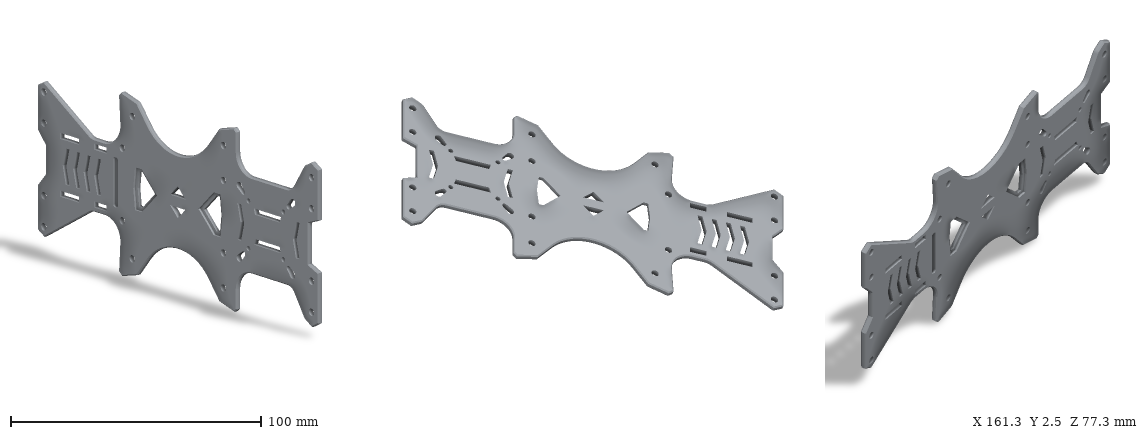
import cadquery as cq
import math

LENGTH = 161.28
HEIGHT = 77.27
THICKNESS = 2.5
EDGE_CHAMFER = 0.5
HALF_LENGTH = LENGTH / 2
HALF_HEIGHT = HEIGHT / 2

LEFT_SHOULDER_Z = 30.3
LEFT_PEAK = (-76.7, 32.65)
LEFT_NOTCH_X = -76.1
LEFT_NOTCH_FLOOR_Z = 6.3
LEFT_NOTCH_MOUTH_Z = 11.8
LEFT_WAIST_Z = 15.3
LEFT_VALLEY_X = -49.3
LEFT_VALLEY_RADIUS = 6.0
LEFT_ARM_ROOT_X = -32.8
LEFT_ARM_RADIUS = 9.0

ARM_TIP_X = 32.2
LEFT_ARM_CORNER = (-34.1, 37.0)
ARM_SHOULDER = (23.4, 36.2)
WAIST_RADIUS = 21.7
WAIST_Z = 19.7

RIGHT_ARM_X = 33.7
RIGHT_ARM_CORNER_Z = 37.2
RIGHT_WAIST_Z = 20.2
RIGHT_ARM_RADIUS = 8.5
RIGHT_VALLEY_X = 64.9
RIGHT_VALLEY_RADIUS = 5.0
RIGHT_SHOULDER = (72.3, 32.2)
RIGHT_SHOULDER_RADIUS = 3.0
RIGHT_PEAK = (76.6, 34.7)
RIGHT_CORNER_Z = 32.3
RIGHT_NOTCH_X = 74.8
RIGHT_NOTCH_FLOOR_Z = 8.6
RIGHT_NOTCH_MOUTH_Z = 11.0

MOUNT_HOLE_DIAMETER = 3.05
MOUNT_HOLE_LOW_Z = 15.25
MOUNT_HOLE_CENTERS = [
    (-76.7, 28.3),
    (-76.7, MOUNT_HOLE_LOW_Z),
    (-31.8, MOUNT_HOLE_LOW_Z),
    (-26.1, 29.9),
    (26.1, 29.9),
    (26.1, MOUNT_HOLE_LOW_Z),
    (76.6, 28.3),
    (76.6, MOUNT_HOLE_LOW_Z),
]

STACK_X = 50.5
STACK_HOLE_OFFSET = 10.0
STACK_HOLE_DIAMETER = 2.1
SLOT_OUTER_OFFSET = 15.25
SLOT_INNER_OFFSET = 12.9

CHEVRON_HALF_HEIGHT = 7.65
CHEVRON_SWEEP = 1.75
CHEVRON_WIDTH = 2.1
CHEVRON_PITCH = 6.0
LEFT_CHEVRON_COUNT = 4
LEFT_CHEVRON_X = -65.9
RIGHT_CHEVRON_X = 38.05
FAR_RIGHT_CHEVRON_X = 65.9

STRAP_SLOT_Z = 12.15
STRAP_SLOT_HEIGHT = 2.5
STRAP_SLOT_SPANS = [(-67.4, -56.5), (-47.9, -40.9)]
TRAPEZOID_LONG_LENGTH = 15.6
TRAPEZOID_SHORT_LENGTH = 14.1
TRAPEZOID_CENTER_X = 51.3
TRAPEZOID_OUTER_Z = 7.6
TRAPEZOID_INNER_Z = 5.1

TRIANGLE_BASE_Z = 2.2
TRIANGLE_RISE = 4.4

WINDOW_TIP_X = 11.9
WINDOW_HALF_HEIGHT = 9.0
WINDOW_SHOULDER_X = 20.6
WINDOW_CORNER_X = 24.5
WINDOW_BACK_X = 25.5
WINDOW_RIM = 1.5
WINDOW_RIM_DEPTH = 1.0

GROOVE_X = -35.6
GROOVE_WIDTH = 2.6
GROOVE_LENGTH = 21.0
GROOVE_CORNER_RADIUS = 1.0
GROOVE_DEPTH = 1.0


def prism(sketch):
    """Extrude a wire drawn on XZ through the full thickness, centred on Y = 0."""
    return sketch.extrude(THICKNESS / 2, both=True)


def front_plane():
    """Sketch plane on the front face."""
    return cq.Workplane("XZ", origin=(0, -THICKNESS / 2, 0))


def mirrored(points):
    """The points together with their reflections below the X axis."""
    return points + [(x, -z) for x, z in points]


def both_halves(body):
    """The body joined with its reflection below the X axis."""
    return body.union(body.mirror("XY"))


def waist_tangent():
    """Point where the line from the arm shoulder touches the round waist."""
    shoulder_x, shoulder_z = ARM_SHOULDER
    rise = shoulder_z - (WAIST_Z + WAIST_RADIUS)
    distance = math.hypot(shoulder_x, rise)
    angle = math.atan2(rise, shoulder_x) - math.acos(WAIST_RADIUS / distance)
    return (
        WAIST_RADIUS * math.cos(angle),
        WAIST_Z + WAIST_RADIUS + WAIST_RADIUS * math.sin(angle),
    )


def plate():
    shoulder_x, shoulder_z = ARM_SHOULDER
    tangent_x, tangent_z = waist_tangent()
    left_valley = (LEFT_VALLEY_X, LEFT_WAIST_Z)
    left_arm_root = (LEFT_ARM_ROOT_X, LEFT_WAIST_Z)
    right_arm_root = (RIGHT_ARM_X, RIGHT_WAIST_Z)
    right_valley = (RIGHT_VALLEY_X, RIGHT_WAIST_Z)
    half = prism(
        cq.Workplane("XZ")
        .moveTo(LEFT_NOTCH_X, 0)
        .lineTo(LEFT_NOTCH_X, LEFT_NOTCH_FLOOR_Z)
        .lineTo(-HALF_LENGTH, LEFT_NOTCH_MOUTH_Z)
        .lineTo(-HALF_LENGTH, LEFT_SHOULDER_Z)
        .lineTo(*LEFT_PEAK)
        .lineTo(*left_valley)
        .lineTo(*left_arm_root)
        .lineTo(*LEFT_ARM_CORNER)
        .lineTo(-ARM_TIP_X, HALF_HEIGHT)
        .lineTo(-shoulder_x, shoulder_z)
        .lineTo(-tangent_x, tangent_z)
        .threePointArc((0, WAIST_Z), (tangent_x, tangent_z))
        .lineTo(shoulder_x, shoulder_z)
        .lineTo(ARM_TIP_X, HALF_HEIGHT)
        .lineTo(RIGHT_ARM_X, RIGHT_ARM_CORNER_Z)
        .lineTo(*right_arm_root)
        .lineTo(*right_valley)
        .lineTo(*RIGHT_SHOULDER)
        .lineTo(*RIGHT_PEAK)
        .lineTo(HALF_LENGTH, RIGHT_CORNER_Z)
        .lineTo(HALF_LENGTH, RIGHT_NOTCH_MOUTH_Z)
        .lineTo(RIGHT_NOTCH_X, RIGHT_NOTCH_FLOOR_Z)
        .lineTo(RIGHT_NOTCH_X, 0)
        .close()
    )
    rounded_corners = [
        (left_valley, LEFT_VALLEY_RADIUS),
        (left_arm_root, LEFT_ARM_RADIUS),
        (right_arm_root, RIGHT_ARM_RADIUS),
        (right_valley, RIGHT_VALLEY_RADIUS),
        (RIGHT_SHOULDER, RIGHT_SHOULDER_RADIUS),
    ]
    for (x, z), radius in rounded_corners:
        corner = cq.selectors.NearestToPointSelector((x, 0, z))
        half = half.edges("|Y").edges(corner).fillet(radius)
    return both_halves(half).faces("<Y or >Y").edges().chamfer(EDGE_CHAMFER)


def mount_holes():
    centers = mirrored(MOUNT_HOLE_CENTERS)
    return prism(cq.Workplane("XZ").pushPoints(centers).circle(MOUNT_HOLE_DIAMETER / 2))


def stack_holes():
    side = 2 * STACK_HOLE_OFFSET
    pattern = cq.Workplane("XZ").center(STACK_X, 0).rect(side, side, forConstruction=True)
    return prism(pattern.vertices().circle(STACK_HOLE_DIAMETER / 2))


def tapered_slot():
    """Slot along the 45 degree diagonal, narrowing toward the pattern centre."""
    outer_radius = MOUNT_HOLE_DIAMETER / 2
    inner_radius = STACK_HOLE_DIAMETER / 2
    diagonal = math.sqrt(2)
    outer_center = SLOT_OUTER_OFFSET * diagonal
    inner_center = SLOT_INNER_OFFSET * diagonal
    lean = math.asin((outer_radius - inner_radius) / (outer_center - inner_center))

    def flank(center, radius, side):
        return (center - radius * math.sin(lean), side * radius * math.cos(lean))

    return prism(
        cq.Workplane("XZ")
        .moveTo(*flank(inner_center, inner_radius, 1))
        .lineTo(*flank(outer_center, outer_radius, 1))
        .threePointArc((outer_center + outer_radius, 0), flank(outer_center, outer_radius, -1))
        .lineTo(*flank(inner_center, inner_radius, -1))
        .threePointArc((inner_center - inner_radius, 0), flank(inner_center, inner_radius, 1))
        .close()
    )


def diagonal_slots():
    slots = cq.Workplane("XZ")
    for angle in (45, 135, 225, 315):
        slots = slots.add(tapered_slot().rotate((0, 0, 0), (0, 1, 0), angle))
    return slots.combine().translate((STACK_X, 0, 0))


def chevron(tip_x, direction):
    """V-shaped slot whose outer tip is at tip_x; its ends sweep toward direction (+1 or -1)."""
    sweep = direction * CHEVRON_SWEEP
    width = direction * CHEVRON_WIDTH
    points = [
        (tip_x, 0),
        (tip_x + sweep, CHEVRON_HALF_HEIGHT),
        (tip_x + sweep + width, CHEVRON_HALF_HEIGHT),
        (tip_x + width, 0),
        (tip_x + sweep + width, -CHEVRON_HALF_HEIGHT),
        (tip_x + sweep, -CHEVRON_HALF_HEIGHT),
    ]
    return prism(cq.Workplane("XZ").polyline(points).close())


def chevrons():
    slots = chevron(RIGHT_CHEVRON_X, -1).add(chevron(FAR_RIGHT_CHEVRON_X, 1))
    for index in range(LEFT_CHEVRON_COUNT):
        slots = slots.add(chevron(LEFT_CHEVRON_X + index * CHEVRON_PITCH, 1))
    return slots.combine()


def strap_slots():
    slots = cq.Workplane("XZ")
    for start_x, end_x in STRAP_SLOT_SPANS:
        centers = mirrored([((start_x + end_x) / 2, STRAP_SLOT_Z)])
        outline = cq.Workplane("XZ").pushPoints(centers).rect(end_x - start_x, STRAP_SLOT_HEIGHT)
        slots = slots.add(prism(outline))
    return slots.combine()


def trapezoid_slots():
    points = [
        (TRAPEZOID_CENTER_X - TRAPEZOID_LONG_LENGTH / 2, TRAPEZOID_OUTER_Z),
        (TRAPEZOID_CENTER_X + TRAPEZOID_LONG_LENGTH / 2, TRAPEZOID_OUTER_Z),
        (TRAPEZOID_CENTER_X + TRAPEZOID_SHORT_LENGTH / 2, TRAPEZOID_INNER_Z),
        (TRAPEZOID_CENTER_X - TRAPEZOID_SHORT_LENGTH / 2, TRAPEZOID_INNER_Z),
    ]
    return both_halves(prism(cq.Workplane("XZ").polyline(points).close()))


def center_triangles():
    """Right-angled triangles: the half base equals the rise."""
    points = [
        (-TRIANGLE_RISE, TRIANGLE_BASE_Z),
        (TRIANGLE_RISE, TRIANGLE_BASE_Z),
        (0, TRIANGLE_BASE_Z + TRIANGLE_RISE),
    ]
    return both_halves(prism(cq.Workplane("XZ").polyline(points).close()))


def window_outline(plane, side):
    points = [
        (side * WINDOW_TIP_X, 0),
        (side * WINDOW_SHOULDER_X, WINDOW_HALF_HEIGHT),
        (side * WINDOW_CORNER_X, WINDOW_HALF_HEIGHT),
        (side * WINDOW_BACK_X, 0),
        (side * WINDOW_CORNER_X, -WINDOW_HALF_HEIGHT),
        (side * WINDOW_SHOULDER_X, -WINDOW_HALF_HEIGHT),
    ]
    return plane.polyline(points).close()


def window(side):
    """Arrow-shaped through window inside a recessed rim on the front face."""
    rim = window_outline(front_plane(), side).extrude(-WINDOW_RIM_DEPTH)
    opening = window_outline(cq.Workplane("XZ"), side).offset2D(-WINDOW_RIM)
    return rim.union(prism(opening))


def groove():
    block = front_plane().center(GROOVE_X, 0).rect(GROOVE_WIDTH, GROOVE_LENGTH)
    return block.extrude(-GROOVE_DEPTH).edges("|Y").fillet(GROOVE_CORNER_RADIUS)


cutouts = [
    mount_holes(),
    stack_holes(),
    diagonal_slots(),
    chevrons(),
    strap_slots(),
    trapezoid_slots(),
    center_triangles(),
    window(-1),
    window(1),
    groove(),
]
result = plate()
for cutout in cutouts:
    result = result.cut(cutout)